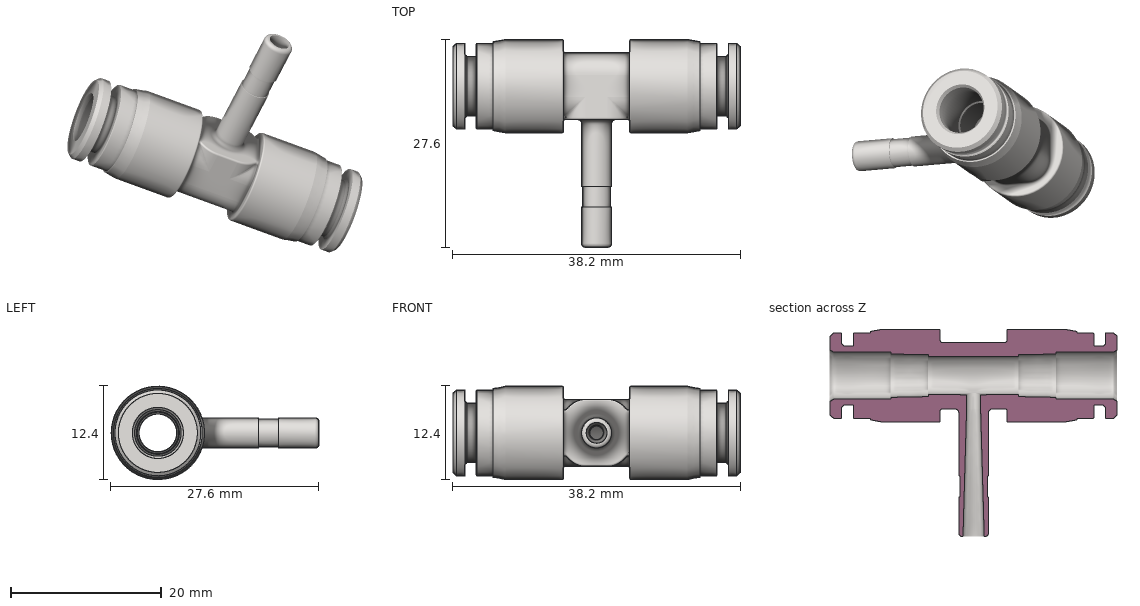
import cadquery as cq
import math


overall_length = 38.2
overall_width = 27.6

end_x = overall_length / 2
collar_start_x = 4.4
collar_radius = 6.2
collar_edge_fillet = 0.2
shoulder_start_x = 12.1
shoulder_end_x = 13.75
shoulder_end_radius = 5.9
sleeve_radius = 5.7
sleeve_end_x = 16.02
sleeve_chamfer_length = 0.1
sleeve_chamfer_depth = 0.15
groove_radius = 3.95
groove_chamfer = 0.3
flange_thickness = 1.6
flange_start_x = end_x - flange_thickness
end_chamfer_length = 0.5
end_chamfer_depth = 0.45

through_radius = 2.5
seat_inner_radius = 2.75
seat_outer_radius = 2.85
seat_x = 6.0
tube_radius = 3.1
tube_stop_x = 11.0
mouth_radius = 3.4
mouth_depth = 0.5

body_half = 4.45
body_corner_radius = 3.0
flat_half = body_half - body_corner_radius
front_edge_fillet = 0.25
body_collar_fillet = 0.2
valley_fillet = 0.3
selection_margin = 0.05

stem_radius = 2.0
stem_end_y = collar_radius - overall_width
stem_root_fillet = 0.5
stem_tip_fillet = 0.5
stem_groove_radius = 1.87
stem_groove_inner_y = -13.35
stem_groove_outer_y = -16.05
stem_bore_radius = 1.38
stem_throat_radius = 0.9


def make_port():
    """Solid of revolution of the +X port, from the collar to the flange."""
    profile = (
        cq.Workplane("XY")
        .moveTo(collar_start_x, 0)
        .lineTo(collar_start_x, collar_radius - collar_edge_fillet)
        .radiusArc((collar_start_x + collar_edge_fillet, collar_radius), collar_edge_fillet)
        .lineTo(shoulder_start_x, collar_radius)
        .lineTo(shoulder_end_x, shoulder_end_radius)
        .lineTo(shoulder_end_x, sleeve_radius)
        .lineTo(sleeve_end_x - sleeve_chamfer_length, sleeve_radius)
        .lineTo(sleeve_end_x, sleeve_radius - sleeve_chamfer_depth)
        .lineTo(sleeve_end_x, groove_radius)
        .lineTo(flange_start_x - groove_chamfer, groove_radius)
        .lineTo(flange_start_x, groove_radius + groove_chamfer)
        .lineTo(flange_start_x, sleeve_radius)
        .lineTo(end_x - end_chamfer_length, sleeve_radius)
        .lineTo(end_x, sleeve_radius - end_chamfer_depth)
        .lineTo(end_x, 0)
        .close()
    )
    return profile.revolve(360, (0, 0, 0), (1, 0, 0))


def make_port_bore():
    """Stepped bore of the +X port, with a slightly tapered seat and a flared mouth."""
    profile = (
        cq.Workplane("XY")
        .lineTo(0, through_radius)
        .lineTo(seat_x, through_radius)
        .lineTo(seat_x, seat_inner_radius)
        .lineTo(tube_stop_x, seat_outer_radius)
        .lineTo(tube_stop_x, tube_radius)
        .lineTo(end_x - mouth_depth, tube_radius)
        .lineTo(end_x, mouth_radius)
        .lineTo(end_x, 0)
        .close()
    )
    return profile.revolve(360, (0, 0, 0), (1, 0, 0))


def make_neck():
    """Rounded square bar along X joining the two collars."""
    bar = cq.Workplane("YZ").rect(2 * body_half, 2 * body_half).extrude(collar_start_x, both=True)
    return bar.edges("|X").fillet(body_corner_radius)


def make_arm():
    """Block from the tee centre to the front face; corners turn 45 degrees, then run straight."""
    arc_end = flat_half + body_corner_radius * math.sqrt(0.5)
    side_z = 2 * arc_end - collar_start_x
    quarter = (
        cq.Workplane("XZ")
        .lineTo(0, body_half)
        .lineTo(flat_half, body_half)
        .radiusArc((arc_end, arc_end), body_corner_radius)
        .lineTo(collar_start_x, side_z)
        .lineTo(collar_start_x, 0)
        .close()
        .extrude(body_half)
    )
    half = quarter.union(quarter.mirror("YZ"))
    return half.union(half.mirror("XY")).clean()


def make_body():
    """Neck and arm joined, with rounded valleys between them and a rounded front rim."""
    body = make_neck().union(make_arm()).clean()
    body = body.edges("%ELLIPSE").fillet(valley_fillet)
    return body.faces("<Y").edges("not |Z").fillet(front_edge_fillet)


def fillet_body_to_collars(tee):
    """Round the inside corners where the body meets the inner faces of the two collars."""
    reach = body_half + selection_margin
    outlines = []
    for side in (-1, 1):
        face_x = side * collar_start_x
        near_face = cq.selectors.BoxSelector(
            (face_x - selection_margin, -reach, -reach),
            (face_x + selection_margin, reach, reach),
            boundingbox=True,
        )
        outlines += tee.edges(near_face).vals()
    return tee.newObject(outlines).fillet(body_collar_fillet)


def make_stem():
    """Grooved stem with a filleted root and a rounded tip."""
    root_y = -body_half
    profile = (
        cq.Workplane("XY")
        .lineTo(stem_radius + stem_root_fillet, 0)
        .lineTo(stem_radius + stem_root_fillet, root_y)
        .radiusArc((stem_radius, root_y - stem_root_fillet), -stem_root_fillet)
        .lineTo(stem_radius, stem_groove_inner_y)
        .lineTo(stem_groove_radius, stem_groove_inner_y)
        .lineTo(stem_groove_radius, stem_groove_outer_y)
        .lineTo(stem_radius, stem_groove_outer_y)
        .lineTo(stem_radius, stem_end_y + stem_tip_fillet)
        .radiusArc((stem_radius - stem_tip_fillet, stem_end_y), stem_tip_fillet)
        .lineTo(0, stem_end_y)
        .close()
    )
    return profile.revolve(360, (0, 0, 0), (0, 1, 0))


def make_stem_bore():
    """Tapered stem bore, narrowing from the tip to a straight throat inside the body."""
    profile = (
        cq.Workplane("XY")
        .lineTo(stem_throat_radius, 0)
        .lineTo(stem_throat_radius, -body_half)
        .lineTo(stem_bore_radius, stem_end_y)
        .lineTo(0, stem_end_y)
        .close()
    )
    return profile.revolve(360, (0, 0, 0), (0, 1, 0))


port = make_port()
port_bore = make_port_bore()
tee = make_body().union(port).union(port.mirror("YZ"))
tee = fillet_body_to_collars(tee).union(make_stem())
result = tee.cut(port_bore).cut(port_bore.mirror("YZ")).cut(make_stem_bore())